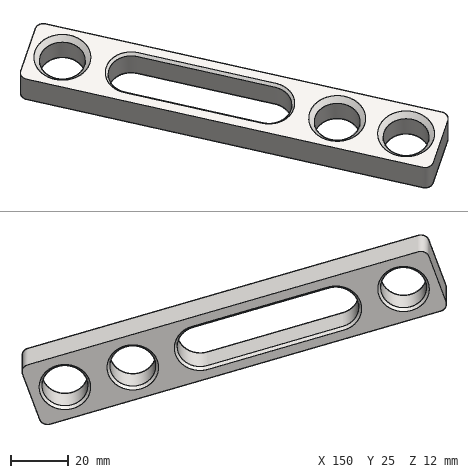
import cadquery as cq

length = 150.0
width = 25.0
thickness = 12.0
corner_radius = 3.0

bore_diameter = 16.0
bottom_chamfer = 1.0
end_margin = width / 2
hole_pitch = width
hole_top_chamfer = 2.0

slot_start = -length / 2 + 37.5
slot_travel = 2 * hole_pitch
slot_top_chamfer = 1.0

last_hole = length / 2 - end_margin
hole_positions = [-last_hole, last_hole - hole_pitch, last_hole]


def make_bar():
    bar = cq.Workplane("XY").box(length, width, thickness, centered=(True, True, False))
    return bar.edges("|Z").fillet(corner_radius)


def opening_outline(center_x, z, travel, diameter):
    """A circle, or a slot when the travel between its end centers is not zero."""
    plane = cq.Workplane("XY", origin=(center_x, 0, z))
    if travel == 0:
        return plane.circle(diameter / 2)
    return plane.slot2D(travel + diameter, diameter)


def opening_cutter(center_x, travel, top_chamfer):
    """Through opening with 45 degree chamfers at the top and bottom faces."""
    top_diameter = bore_diameter + 2 * top_chamfer
    bottom_diameter = bore_diameter + 2 * bottom_chamfer
    bore = opening_outline(center_x, 0, travel, bore_diameter).extrude(thickness)
    top_rim = opening_outline(center_x, thickness, travel, top_diameter).extrude(-top_chamfer, taper=45)
    bottom_rim = opening_outline(center_x, 0, travel, bottom_diameter).extrude(bottom_chamfer, taper=45)
    return bore.union(top_rim).union(bottom_rim)


slot_center = slot_start + slot_travel / 2
result = make_bar().cut(opening_cutter(slot_center, slot_travel, slot_top_chamfer))
for hole_x in hole_positions:
    result = result.cut(opening_cutter(hole_x, 0, hole_top_chamfer))